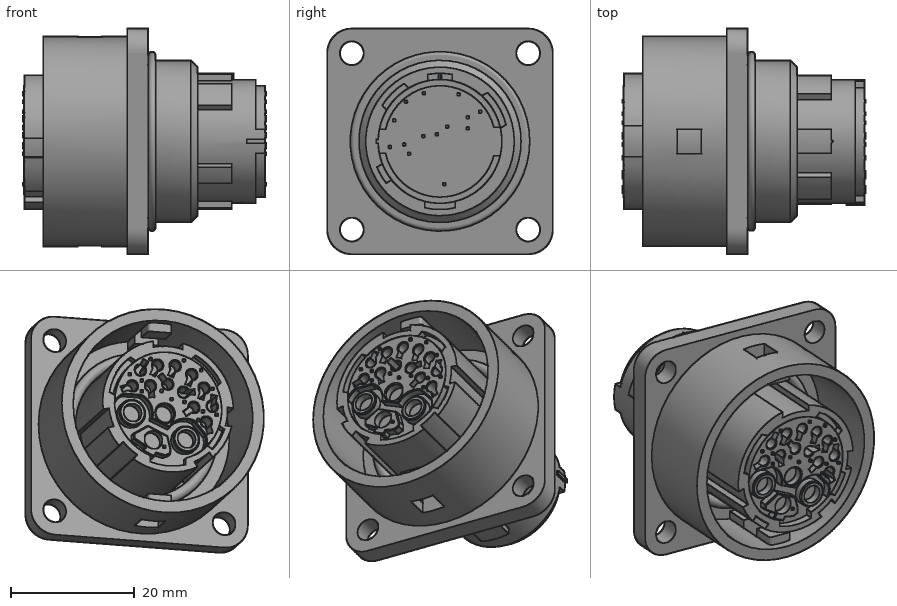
import cadquery as cq
import math


face_front = -16.7
face_step = 0.1
shell_front = -13.6
flange_thick = 3.4
seal_width = 1.2
body_rear = 11.4
rear_key_length = 5.5
pocket_depth = 1.4
tab_length = 1.5
barrel_rear = 22.3
cavity_floor = 0.0

shell_dia = 34.0
cavity_dia = 30.2
insert_dia = 22.0
groove_root_dia = 20.0
face_dia = 18.0
seal_dia = 29.0
body_dia = 26.2
barrel_dia = 20.0
chamfer_angle = 45
half_turn = 180
overlap = 0.5

flange_side = 36.5
flange_corner_r = 4.0
flange_hole_dia = 3.8
body_chamfer = 1.1

ring_section_r = 0.9
ring_gap = 0.05
ring_embed = 0.1

rail_half_width = 2.0
rail_inner_r = 13.6
rail_rounding = 0.5
rail_front = -12.0
window_front = -8.0
window_rear = -4.1
window_inner_r = 12.5

coding_keys = [(135, 2.5), (30, 3.0), (210, 1.5), (270, 2.5)]
index_key = (90, 1.95)
key_clearance = 0.5
outer_grooves = [(90, 2.5), (185.6, 1.55), (-15.2, 1.55), (-49.8, 1.55), (235, 1.55)]
arrow_length = 0.3

rear_tabs = [(0, 2.3), (180, 1.93)]
rib_half_width = 0.33
rib_length = 3.0
rib_outer_r = 10.3

sleeve_centers = [(6.0, -1.55), (-3.08, -5.29)]
recess_flat_angles = [90, 139]
sleeve_outer_dia = 4.4
sleeve_rim_chamfer = 0.2
recess_r = 3.3
recess_flat = 2.95
bridge_rise = 0.58
bridge_reach = 10.0
recess_chamfer = 0.15
power_hole_dia = 3.0
power_hole_depth = 1.5
center_hole = (0.54, -1.25)
center_hole_chamfer = 0.2
island_hole = (2.5, -5.87)
island_points = [
    (3.4, -3.5), (0.1, -5.0), (-0.1, -5.8), (-0.45, -7.1), (-0.4, -8.0), (0.5, -8.4),
    (2.0, -8.1), (2.4, -8.7), (4.4, -7.8), (3.8, -7.1), (5.8, -5.9), (5.8, -5.0),
]

signal_cavities = [
    (4.7, 5.65, 119), (1.8, 6.7, -65), (-1.15, 6.8, -67), (-3.95, 5.55, -70),
    (-6.0, 3.45, -74), (-7.4, 0.5, 100), (-4.3, 0.1, -37), (-2.55, 2.5, 174),
    (0.1, 3.65, 49), (3.0, 3.15, -97), (6.05, 2.9, -20), (-6.4, -2.2, -110),
]
signal_hole_dia = 1.7
signal_hole_depth = 3.0
signal_chamfer = 0.15
signal_slot_width = 0.96
signal_slot_reach = 1.95

contact_marks = [
    (3.0, 7.6), (-2.6, 7.8), (-5.5, 6.4), (-7.4, 3.4), (-8.1, -0.9), (-5.8, -0.5), (-5.0, -2.0),
    (-2.7, 0.85), (-0.5, 1.15), (1.15, 2.4), (4.5, 3.9), (4.5, 2.1), (6.5, 4.8), (0.7, -6.9),
]
mark_dia = 0.5
mark_height = 0.2

flange_hole_offset = flange_side / 2 - flange_corner_r
seal_rear = flange_thick + seal_width
key_rear = body_rear + rear_key_length
tab_front = barrel_rear - tab_length
insert_front = face_front + face_step
pocket_floor = insert_front + pocket_depth
seal_section_r = seal_width / 2
insert_r = insert_dia / 2
face_r = face_dia / 2


def rod(dia, x0, x1, y=0.0, z=0.0):
    """Cylinder along X between two stations."""
    return cq.Workplane("YZ", origin=(x0, y, z)).circle(dia / 2).extrude(x1 - x0)


def slab(x0, x1, y0, y1, z0, z1):
    """Axis-aligned block given by its limits."""
    return cq.Workplane("XY").box(x1 - x0, y1 - y0, z1 - z0, centered=False).translate((x0, y0, z0))


def prism(points, x0, x1):
    """Straight-sided outline in (y, z) extruded along X."""
    return cq.Workplane("YZ", origin=(x0, 0, 0)).polyline(points).close().extrude(x1 - x0)


def turn(shape, angle, y=0.0, z=0.0):
    """Rotate about an axis parallel to X through (y, z)."""
    return shape.rotate((0, y, z), (1, y, z), angle)


def arc_block(angle, half_width, r_in, r_out, x0, x1):
    """Parallel-sided piece of a tube wall, centred on the given angle."""
    tube = rod(2 * r_out, x0, x1).cut(rod(2 * r_in, x0, x1))
    return tube.intersect(turn(slab(x0, x1, 0, 2 * r_out, -half_width, half_width), angle))


def make_flange():
    plate = cq.Workplane("YZ").rect(flange_side, flange_side).extrude(flange_thick)
    plate = plate.edges("|X").fillet(flange_corner_r)
    for y in (-flange_hole_offset, flange_hole_offset):
        for z in (-flange_hole_offset, flange_hole_offset):
            plate = plate.cut(rod(flange_hole_dia, 0, flange_thick, y, z))
    return plate


def make_shell():
    shell = rod(shell_dia, shell_front, 0).union(make_flange())
    return shell.cut(rod(cavity_dia, shell_front, cavity_floor))


def make_rail():
    """Locking rail along the top of the cavity, with rounded front corners."""
    wall_r = cavity_dia / 2 + overlap
    rail = slab(rail_front, cavity_floor, -rail_half_width, rail_half_width, rail_inner_r, wall_r)
    return rail.edges("<X and |Z").fillet(rail_rounding)


def make_window():
    """Opening through the top of the shell that also interrupts the rail."""
    return slab(window_front, window_rear, -rail_half_width, rail_half_width, window_inner_r, shell_dia / 2)


def make_flange_seal():
    """Disc behind the flange with a fully rounded edge."""
    edge_r = seal_dia / 2 - seal_section_r
    profile = (
        cq.Workplane("XY").moveTo(flange_thick, 0).lineTo(flange_thick, edge_r)
        .threePointArc((flange_thick + seal_section_r, seal_dia / 2), (seal_rear, edge_r))
        .lineTo(seal_rear, 0).close()
    )
    return profile.revolve(360, (0, 0, 0), (1, 0, 0))


def make_rear_body():
    seal = make_flange_seal()
    body = rod(body_dia, flange_thick - overlap, body_rear).faces(">X").chamfer(body_chamfer)
    barrel = rod(barrel_dia, body_rear - overlap, tab_front)
    spigot = rod(face_dia, tab_front - overlap, barrel_rear)
    return body.union(seal).union(barrel).union(spigot)


def make_rear_keys():
    root_r = barrel_dia / 2 - overlap
    keys = cq.Workplane("YZ")
    for angle, half_width in coding_keys + [index_key]:
        keys = keys.union(arc_block(angle, half_width, root_r, insert_r, body_rear - overlap, key_rear))
    arrow = (
        cq.Workplane("XY", origin=(key_rear, 0, root_r))
        .polyline([(0, -arrow_length), (arrow_length, 0), (0, arrow_length)])
        .close().extrude(insert_r - root_r)
    )
    return keys.union(arrow.intersect(rod(insert_dia, key_rear, barrel_rear)))


def make_rear_tabs():
    tabs = cq.Workplane("YZ")
    for angle, half_width in rear_tabs:
        tab = arc_block(angle, half_width, face_r - overlap, barrel_dia / 2, tab_front - overlap, barrel_rear)
        tabs = tabs.union(tab)
    rib_front = barrel_rear - rib_length
    rib = slab(rib_front, barrel_rear, -rib_outer_r, -face_r, -rib_half_width, rib_half_width)
    return tabs.union(rib)


def make_seal_ring():
    """O-ring around the insert, seated on the cavity floor."""
    center_x = cavity_floor - ring_section_r + ring_embed
    center_r = insert_r + ring_gap + ring_section_r
    return cq.Workplane("YZ").add(
        cq.Solid.makeTorus(center_r, ring_section_r, cq.Vector(center_x, 0, 0), cq.Vector(1, 0, 0)))


def make_recess_lobe(y, z, flat_angle, grow, depth, taper):
    """Round pocket with one flat side, enlarged all round by grow."""
    radius = recess_r + grow
    flat = recess_flat + grow
    half_chord = math.sqrt(radius ** 2 - flat ** 2)
    outline = (
        cq.Workplane("YZ", origin=(face_front, y, z))
        .moveTo(flat, half_chord).threePointArc((-radius, 0), (flat, -half_chord)).close()
    )
    return turn(outline.extrude(depth, taper=taper), flat_angle, y, z)


def make_recess_bridge(grow, depth, taper):
    """Low area below the line joining the sleeves, reaching past the rim of the disc."""
    (y0, z0), (y1, z1) = sleeve_centers
    rise = bridge_rise + grow
    outline = cq.Workplane("YZ", origin=(face_front, 0, 0)).polyline([
        (y0, z0 + rise), (y1, z1 + rise), (y1, -bridge_reach),
        (bridge_reach, -bridge_reach), (bridge_reach, z0),
    ])
    return outline.close().extrude(depth, taper=taper)


def make_face_recess(grow, depth, taper):
    """Sunken area of the contact disc: a lobe around each sleeve and the area below them."""
    recess = make_recess_bridge(grow, depth, taper)
    for (y, z), flat_angle in zip(sleeve_centers, recess_flat_angles):
        recess = recess.union(make_recess_lobe(y, z, flat_angle, grow, depth, taper))
    return recess


def make_contact_disc():
    """Front disc with its recess, the two contact sleeves and the island between them."""
    disc = rod(face_dia, face_front, pocket_floor + overlap)
    disc = disc.cut(make_face_recess(0, pocket_floor - face_front, 0))
    disc = disc.cut(make_face_recess(recess_chamfer, recess_chamfer, chamfer_angle))
    for y, z in sleeve_centers:
        sleeve = rod(sleeve_outer_dia, face_front, pocket_floor + overlap, y, z)
        disc = disc.union(sleeve.faces("<X").chamfer(sleeve_rim_chamfer))
    island = prism(island_points, face_front, pocket_floor + overlap)
    island = island.faces("<X").chamfer(recess_chamfer)
    return disc.union(island.intersect(rod(face_dia, face_front, pocket_floor + overlap)))


def make_round_cavity(dia, depth, chamfer, y, z):
    hole = rod(dia, face_front, face_front + depth, y, z)
    if chamfer:
        mouth = cq.Workplane("YZ", origin=(face_front, y, z)).circle(dia / 2 + chamfer)
        hole = hole.union(mouth.extrude(chamfer, taper=chamfer_angle))
    return hole


def make_signal_cavity(y, z, angle):
    hole = make_round_cavity(signal_hole_dia, signal_hole_depth, signal_chamfer, y, z)
    half_width = signal_slot_width / 2
    slot = slab(face_front, face_front + signal_hole_depth, y, y + signal_slot_reach,
                z - half_width, z + half_width)
    return hole.union(turn(slot, angle, y, z))


def make_insert():
    insert = rod(insert_dia, insert_front, cavity_floor + overlap)
    for angle, half_width in outer_grooves:
        insert = insert.cut(
            arc_block(angle, half_width, groove_root_dia / 2, insert_r + overlap, insert_front, cavity_floor))
    for angle, half_width in coding_keys:
        pocket_half = half_width + key_clearance
        insert = insert.cut(
            arc_block(angle, pocket_half, face_r, groove_root_dia / 2, insert_front, pocket_floor))
    insert = insert.cut(rod(face_dia, insert_front, pocket_floor)).union(make_contact_disc())
    for y, z in sleeve_centers + [island_hole]:
        insert = insert.cut(make_round_cavity(power_hole_dia, power_hole_depth, 0, y, z))
    insert = insert.cut(
        make_round_cavity(power_hole_dia, power_hole_depth, center_hole_chamfer, *center_hole))
    for cavity in signal_cavities:
        insert = insert.cut(make_signal_cavity(*cavity))
    return insert


def make_contact_marks():
    marks = cq.Workplane("YZ")
    for y, z in contact_marks:
        marks = marks.union(rod(mark_dia, face_front - mark_height, face_front + mark_height, y, z))
        marks = marks.union(rod(mark_dia, barrel_rear - mark_height, barrel_rear + mark_height, y, z))
    return marks


result = make_shell()
result = result.union(make_rail()).union(turn(make_rail(), half_turn))
result = result.cut(make_window()).cut(turn(make_window(), half_turn))
result = result.union(make_rear_body()).union(make_rear_keys()).union(make_rear_tabs())
result = result.union(make_insert()).union(make_seal_ring()).union(make_contact_marks())